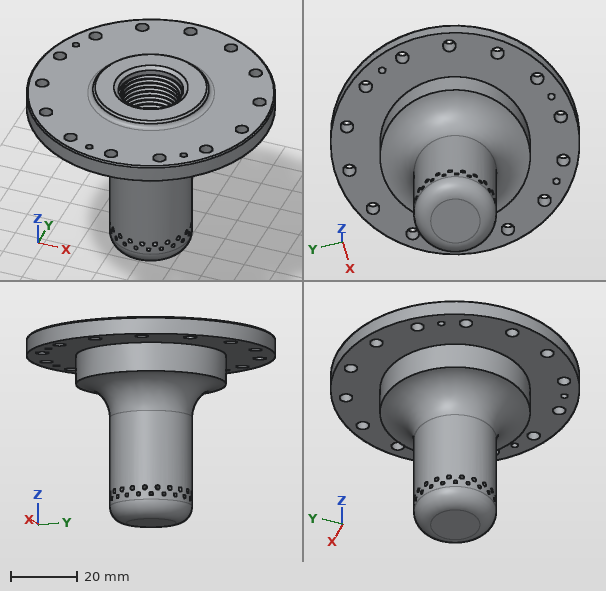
import cadquery as cq
import math

total_height = 58.2
boss_height = 1.95
flange_thickness = 5.25
hub_height = 8.7
flange_top = total_height - boss_height
flange_bottom = flange_top - flange_thickness
hub_bottom = flange_bottom - hub_height

flange_diameter = 74.9
flange_chamfer = 0.45
hub_diameter = 45.2
tube_diameter = 24.9
tube_end_radius = 5.0
boss_top_diameter = 33.6
boss_chamfer = 0.7
boss_foot_diameter = 38.15

mouth_diameter = 22.3
mouth_chamfer_depth = 0.8
counterbore_diameter = 19.55
counterbore_depth = 2.55
thread_minor_diameter = 17.6
thread_root_diameter = 19.3
thread_pitch = 1.6
thread_turns = 9
thread_root_flat = thread_pitch / 8
thread_flank_angle = 30.0
thread_overlap = 0.1
thread_start_angle = 100.0
thread_relief = 0.75
bore_diameter = 15.05
bore_cone_angle = 60.0
bore_floor = 5.0
counterbore_floor = total_height - counterbore_depth
thread_bottom = counterbore_floor - thread_turns * thread_pitch - thread_relief

bolt_circle_radius = 33.05
bolt_count = 14
bolt_diameter = 3.8
bolt_step = 360 / bolt_count
pin_diameter = 2.0
pin_steps = (2.5, 6.5, 8.5)

radial_count = 20
radial_step = 360 / radial_count
lower_row_height = 6.7
lower_row_diameter = 1.1
upper_row_height = 8.6
upper_row_diameter = 1.35


def make_body():
    """Revolve the flange, hub, flared tube and boss."""
    flange_radius = flange_diameter / 2
    hub_radius = hub_diameter / 2
    tube_radius = tube_diameter / 2
    boss_top_radius = boss_top_diameter / 2
    boss_radius = boss_top_radius + boss_chamfer
    boss_foot_radius = boss_foot_diameter / 2
    flare_radius = hub_radius - tube_radius
    profile = (
        cq.Workplane("XZ")
        .lineTo(tube_radius - tube_end_radius, 0)
        .tangentArcPoint((tube_radius, tube_end_radius), relative=False)
        .lineTo(tube_radius, hub_bottom - flare_radius)
        .tangentArcPoint((hub_radius, hub_bottom), relative=False)
        .lineTo(hub_radius, flange_bottom)
        .lineTo(flange_radius, flange_bottom)
        .lineTo(flange_radius, flange_top - flange_chamfer)
        .lineTo(flange_radius - flange_chamfer, flange_top)
        .lineTo(boss_foot_radius, flange_top)
        .tangentArcPoint((boss_radius, total_height - boss_chamfer), relative=False)
        .lineTo(boss_top_radius, total_height)
        .lineTo(0, total_height)
        .close()
    )
    return profile.revolve(360, (0, 0, 0), (0, 1, 0))


def make_bore():
    """Stepped blind bore with a countersunk mouth and a cone below the thread."""
    minor_radius = thread_minor_diameter / 2
    bore_radius = bore_diameter / 2
    cone_height = (minor_radius - bore_radius) * math.tan(math.radians(bore_cone_angle))
    points = [
        (0, bore_floor),
        (bore_radius, bore_floor),
        (bore_radius, thread_bottom - cone_height),
        (minor_radius, thread_bottom),
        (minor_radius, counterbore_floor),
        (counterbore_diameter / 2, counterbore_floor),
        (counterbore_diameter / 2, total_height - mouth_chamfer_depth),
        (mouth_diameter / 2, total_height),
        (0, total_height),
    ]
    return cq.Workplane("XZ").polyline(points).close().revolve(360, (0, 0, 0), (0, 1, 0))


def make_thread_groove():
    """Right-handed helical groove that runs out into the counterbore."""
    root_radius = thread_root_diameter / 2
    inner_radius = thread_minor_diameter / 2 - thread_overlap
    root_half = thread_root_flat / 2
    mouth_half = root_half + (root_radius - inner_radius) * math.tan(math.radians(thread_flank_angle))
    start = counterbore_floor - thread_turns * thread_pitch
    helix = cq.Wire.makeHelix(thread_pitch, (thread_turns + 1) * thread_pitch, inner_radius)
    helix = helix.translate(cq.Vector(0, 0, start))
    points = [
        (inner_radius, start - mouth_half),
        (root_radius, start - root_half),
        (root_radius, start + root_half),
        (inner_radius, start + mouth_half),
    ]
    section = cq.Workplane("XZ").polyline(points).close()
    groove = section.sweep(cq.Workplane(obj=helix), isFrenet=True)
    return groove.rotate((0, 0, 0), (0, 0, 1), thread_start_angle)


def flange_hole(steps, diameter):
    """Cutter for one flange hole, a number of bolt steps counter-clockwise from +Y."""
    angle = 90 + steps * bolt_step
    hole = cq.Workplane("XY", origin=(bolt_circle_radius, 0, flange_bottom))
    return hole.circle(diameter / 2).extrude(flange_thickness).rotate((0, 0, 0), (0, 0, 1), angle)


def radial_row(height, diameter, start_angle):
    """Cutters for one row of radial holes through the tube wall."""
    row = cq.Workplane("XY")
    for index in range(radial_count):
        hole = cq.Workplane("YZ", origin=(0, 0, height)).circle(diameter / 2).extrude(tube_diameter)
        row.add(hole.rotate((0, 0, 0), (0, 0, 1), start_angle + index * radial_step))
    return row


body = make_body().cut(make_bore()).cut(make_thread_groove())

for step in range(bolt_count):
    body = body.cut(flange_hole(step, bolt_diameter))
for step in pin_steps:
    body = body.cut(flange_hole(step, pin_diameter))

lower_row = radial_row(lower_row_height, lower_row_diameter, 0)
upper_row = radial_row(upper_row_height, upper_row_diameter, radial_step / 2)
for cutter in lower_row.vals() + upper_row.vals():
    body = body.cut(cq.Workplane(obj=cutter))

result = body